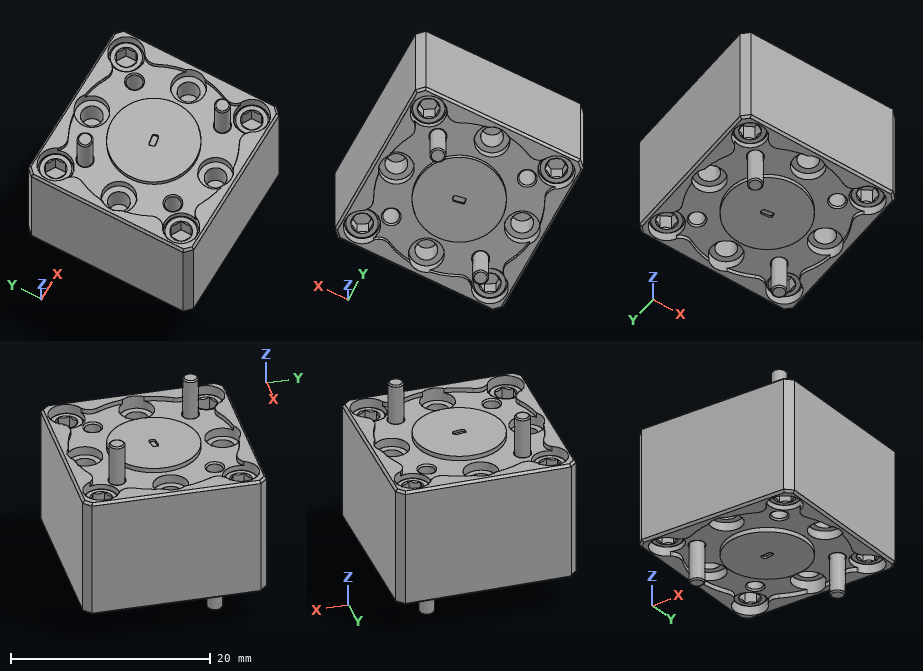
import cadquery as cq
import math

block_side = 19.05
block_height = 13.28
total_height = 21.08
corner_chamfer = 0.78
edge_chamfer = 0.25

recess_depth = 0.5
recess_radius = 8.6
recess_fillet = 1.26
recess_arm_width = 3.45
disc_radius = 4.75

window_length = 1.3
window_width = 0.65
window_corner_radius = 0.21
window_angle = 9.0
window_depth = 0.25

screw_offset = 7.23
screw_bore_radius = 1.85
screw_bore_depth = 3.16
screw_head_radius = 1.8
screw_head_chamfer = 0.17
screw_head_drop = 0.9
hex_across_flats = 2.0
hex_depth = 1.9
hex_countersink_radius = 1.14
hex_countersink_depth = 0.17

side_hole_offset = 7.13
side_bore_radius = 1.8
side_bore_depth = 1.48
side_hole_radius = 1.14
side_hole_depth = 4.22

dowel_offset = 5.05
pin_radius = 0.8
pin_chamfer = 0.15
pin_seat_radius = 0.9
pin_seat_depth = 0.1
dowel_hole_radius = 0.85
dowel_hole_depth = 4.22
dowel_mouth_radius = 1.0
dowel_mouth_depth = 0.2

half_height = block_height / 2
floor_z = half_height - recess_depth
head_top_z = half_height - screw_head_drop
side_centers = [
    (side_hole_offset, 0),
    (0, side_hole_offset),
    (-side_hole_offset, 0),
    (0, -side_hole_offset),
]
screw_centers = [(x, y) for x in (-screw_offset, screw_offset) for y in (-screw_offset, screw_offset)]
pin_centers = [(-dowel_offset, dowel_offset), (dowel_offset, -dowel_offset)]
dowel_hole_centers = [(-dowel_offset, -dowel_offset), (dowel_offset, dowel_offset)]


def plane_at(z):
    return cq.Workplane("XY", origin=(0, 0, z))


def cylinders(centers, radius, top_z, depth):
    """Upright cylinders reaching down from top_z."""
    return plane_at(top_z).pushPoints(centers).circle(radius).extrude(-depth)


def countersinks(centers, mouth_radius, bottom_radius, top_z, depth):
    """Cones narrowing downward from mouth_radius at top_z to bottom_radius."""
    cone = cq.Solid.makeCone(mouth_radius, bottom_radius, depth, dir=cq.Vector(0, 0, -1))
    return plane_at(top_z).pushPoints(centers).eachpoint(lambda place: cone.moved(place))


def make_block():
    body = cq.Workplane("XY").box(block_side, block_side, block_height)
    body = body.edges("|Z").chamfer(corner_chamfer)
    return body.faces("<Z or >Z").edges().chamfer(edge_chamfer)


def make_recess():
    """Round recess with diagonal arms to the screws, leaving the disc standing in the middle."""
    recess = cylinders([(0, 0)], recess_radius, half_height, recess_depth)
    arm_length = 2 * math.hypot(screw_offset, screw_offset)
    for angle in (45, 135):
        arm = plane_at(half_height).transformed(rotate=(0, 0, angle))
        recess = recess.union(arm.rect(arm_length, recess_arm_width).extrude(-recess_depth))
    reach = (screw_offset + recess_radius) / 2
    junctions = cq.selectors.BoxSelector((-reach, -reach, floor_z), (reach, reach, half_height))
    recess = recess.edges("|Z").edges(junctions).fillet(recess_fillet)
    return recess.cut(cylinders([(0, 0)], disc_radius, half_height, recess_depth))


def make_window():
    return (
        plane_at(half_height)
        .transformed(rotate=(0, 0, window_angle))
        .rect(window_length, window_width)
        .extrude(-window_depth)
        .edges("|Z")
        .fillet(window_corner_radius)
    )


def make_screw_heads():
    """Socket screw heads standing on the bottoms of their bores."""
    heads = cylinders(screw_centers, screw_head_radius, head_top_z, screw_bore_depth - screw_head_drop)
    heads = heads.faces(">Z").edges().chamfer(screw_head_chamfer)
    hex_across_corners = hex_across_flats / math.cos(math.pi / 6)
    hexagons = cq.Sketch().regularPolygon(hex_across_corners / 2, 6)
    sockets = plane_at(head_top_z).pushPoints(screw_centers).placeSketch(hexagons).extrude(-hex_depth)
    mouths = countersinks(
        screw_centers, hex_countersink_radius, hex_across_flats / 2, head_top_z, hex_countersink_depth
    )
    return heads.cut(sockets).cut(mouths)


def make_pins():
    pin_length = total_height / 2 - floor_z
    pins = cylinders(pin_centers, pin_radius, total_height / 2, pin_length + pin_seat_depth)
    return pins.faces(">Z").edges().chamfer(pin_chamfer)


def end_cuts():
    """Everything removed from the upper end."""
    return [
        make_recess(),
        make_window(),
        cylinders(screw_centers, screw_bore_radius, half_height, screw_bore_depth),
        cylinders(side_centers, side_bore_radius, half_height, side_bore_depth),
        cylinders(side_centers, side_hole_radius, half_height, side_hole_depth),
        cylinders(dowel_hole_centers, dowel_hole_radius, half_height, dowel_hole_depth),
        countersinks(
            dowel_hole_centers, dowel_mouth_radius, dowel_hole_radius, floor_z, dowel_mouth_depth
        ),
        countersinks(pin_centers, pin_seat_radius, pin_radius, floor_z, pin_seat_depth),
    ]


def turned_over(shape):
    """The same feature on the lower end."""
    return shape.rotate((0, 0, 0), (1, 0, 0), 180)


result = make_block()
for cut in end_cuts():
    result = result.cut(cut).cut(turned_over(cut))
for addition in (make_screw_heads(), make_pins()):
    result = result.union(addition).union(turned_over(addition))